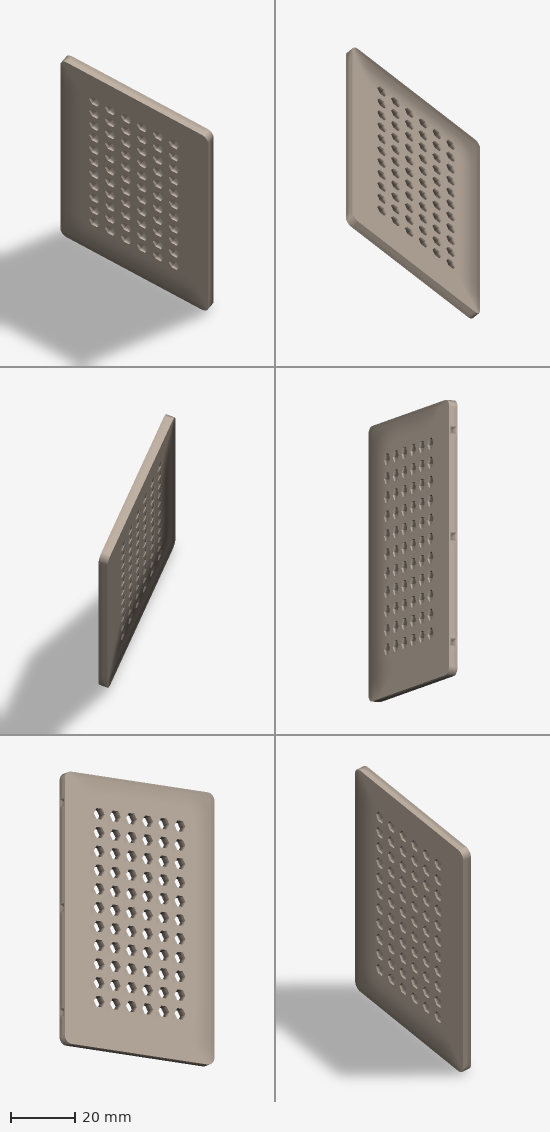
import cadquery as cq

PLATE_WIDTH = 55.6
PLATE_THICKNESS = 3.0
PLATE_HEIGHT = 87.0
CORNER_RADIUS = 2.5

HOLE_COLUMNS = 6
HOLE_ROWS = 11
HOLE_PITCH = 6.0
HEX_SIDES = 6
HEX_ACROSS_CORNERS = 4.0
GRID_CENTER_Z = 1.35

POCKET_COUNT = 3
POCKET_PITCH = 33.5
POCKET_WIDTH = 2.0
POCKET_HEIGHT = 2.6
POCKET_DEPTH = 0.8
MIDDLE_POCKET_LOWER_INSET = 0.5


def make_plate():
    """Flat plate with its four corners rounded."""
    plate = cq.Workplane("XY").box(PLATE_WIDTH, PLATE_THICKNESS, PLATE_HEIGHT)
    return plate.edges("|Y").fillet(CORNER_RADIUS)


def make_hex_holes():
    """Hexagonal prisms through the plate, with corners pointing along X."""
    return (
        cq.Workplane("XZ")
        .center(0, GRID_CENTER_Z)
        .rarray(HOLE_PITCH, HOLE_PITCH, HOLE_COLUMNS, HOLE_ROWS)
        .polygon(HEX_SIDES, HEX_ACROSS_CORNERS)
        .extrude(PLATE_THICKNESS, both=True)
    )


def make_pocket(center_z, lower_inset):
    """Blind pocket in the -X edge, narrowing from its mouth to a small floor.

    The lower wall leans in by lower_inset; the other walls lean in by the pocket depth.
    """
    floor_width = POCKET_WIDTH - 2 * POCKET_DEPTH
    floor_height = POCKET_HEIGHT - POCKET_DEPTH - lower_inset
    floor_shift = (lower_inset - POCKET_DEPTH) / 2
    return (
        cq.Workplane("YZ", origin=(-PLATE_WIDTH / 2, 0, center_z))
        .rect(POCKET_WIDTH, POCKET_HEIGHT)
        .workplane(offset=POCKET_DEPTH)
        .center(0, floor_shift)
        .rect(floor_width, floor_height)
        .loft(ruled=True)
    )


result = make_plate().cut(make_hex_holes())
middle_index = POCKET_COUNT // 2
for index in range(POCKET_COUNT):
    pocket_z = (index - middle_index) * POCKET_PITCH
    lower_inset = MIDDLE_POCKET_LOWER_INSET if index == middle_index else POCKET_DEPTH
    result = result.cut(make_pocket(pocket_z, lower_inset))